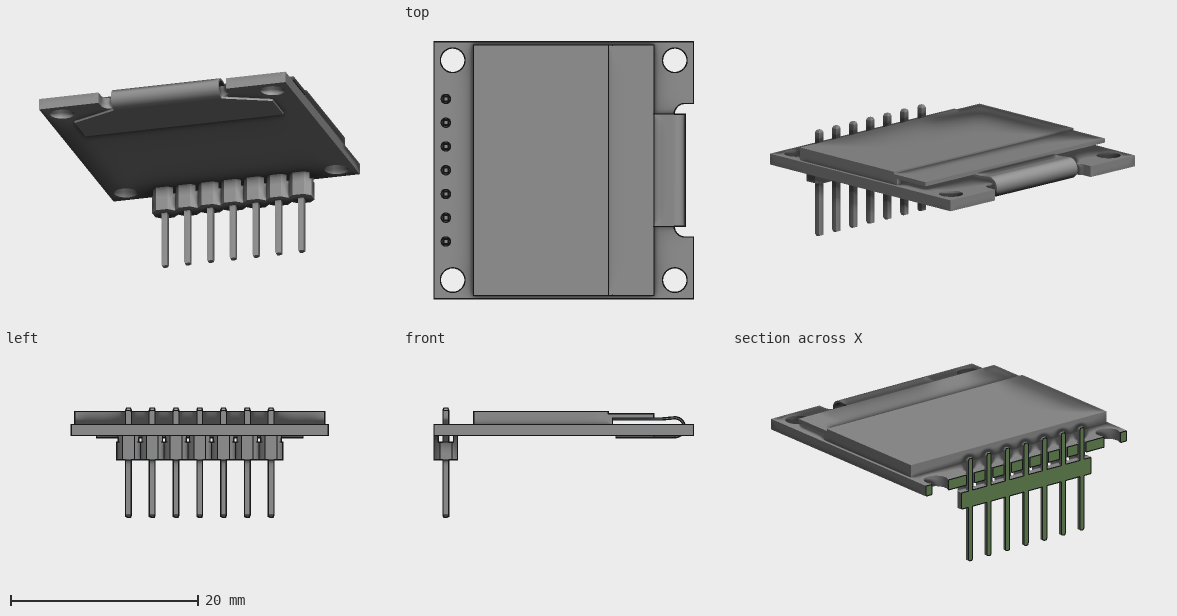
import cadquery as cq
import math


board_length = 27.75
board_width = 27.5
board_thickness = 1.2
board_left = -board_length / 2
board_right = board_length / 2
mount_hole_diameter = 2.6
mount_hole_inset = 2.0
notch_depth = 2.05
notch_width = 14.25
notch_corner_radius = 1.125

display_left = board_left + 4.25
display_width = 26.75
display_base_length = 14.85
display_cover_length = 14.4
display_glass_length = 19.25
display_glass_bottom = board_thickness + 0.69
display_glass_top = board_thickness + 1.15
display_top = board_thickness + 1.4
display_base_right = display_left + display_base_length

flex_thickness = 0.24
flex_width = 12.0
flex_tail_width = 22.1
flex_tail_length = 4.05
flex_taper_length = 2.25
bend_outer_radius = 1.13
bend_right = board_right - 0.87
bend_inner_radius = bend_outer_radius - flex_thickness
bend_z = bend_inner_radius
bend_x = bend_right - bend_outer_radius
ramp_left = display_left + display_glass_length + 0.8

pin_count = 7
pin_pitch = 2.54
pin_size = 0.64
pin_top = board_thickness + 1.75
pin_length = 11.7
pin_hole_diameter = 1.0
pin_tip_length = 0.25
pin_tip_inset = 0.1
housing_width = 2.54
housing_height = 2.6
housing_corner_chamfer = 0.635
housing_channel_width = 1.6
housing_channel_depth = 0.7
pin_x = board_left + housing_width / 2
pin_positions = [(pin_x, (i - (pin_count - 1) / 2) * pin_pitch) for i in range(pin_count)]


def make_block(x_min, x_max, width, z_min, z_max):
    """Box between two X and two Z limits, centred on Y."""
    block = cq.Workplane("XY").box(x_max - x_min, width, z_max - z_min, centered=(False, True, False))
    return block.translate((x_min, 0, z_min))


def make_board():
    board = make_block(board_left, board_right, board_width, 0, board_thickness)
    notch = make_block(board_right - notch_depth, board_right, notch_width, 0, board_thickness)
    notch = notch.edges("|Z and <X").fillet(notch_corner_radius)
    mount_holes = (
        cq.Workplane("XY")
        .rect(board_length - 2 * mount_hole_inset, board_width - 2 * mount_hole_inset, forConstruction=True)
        .vertices()
        .circle(mount_hole_diameter / 2)
        .extrude(board_thickness)
    )
    pin_holes = (
        cq.Workplane("XY")
        .pushPoints(pin_positions)
        .circle(pin_hole_diameter / 2)
        .extrude(board_thickness)
    )
    return board.cut(notch).cut(mount_holes).cut(pin_holes)


def make_display():
    """Stepped stack: base on the board, overhanging glass, and cover layer on top."""
    profile = [
        (display_left, board_thickness),
        (display_base_right, board_thickness),
        (display_base_right, display_glass_bottom),
        (display_left + display_glass_length, display_glass_bottom),
        (display_left + display_glass_length, display_glass_top),
        (display_left + display_cover_length, display_glass_top),
        (display_left + display_cover_length, display_top),
        (display_left, display_top),
    ]
    return cq.Workplane("XZ").polyline(profile).close().extrude(display_width / 2, both=True)


def make_flex():
    """Ribbon that leaves the glass, climbs a ramp into a bend and folds back under the board."""
    run_to_bend_centre = bend_x - ramp_left
    drop_to_bend_centre = display_glass_bottom - bend_z
    distance_to_bend_centre = math.hypot(run_to_bend_centre, drop_to_bend_centre)
    tangent_angle = math.asin(bend_outer_radius / distance_to_bend_centre)
    ramp_angle = tangent_angle - math.atan2(drop_to_bend_centre, run_to_bend_centre)
    ramp_corner_offset = flex_thickness * math.tan(ramp_angle / 2)

    def on_bend(radius, angle):
        """Point on the bend, with the angle measured from its top towards -X."""
        return (bend_x - radius * math.sin(angle), bend_z + radius * math.cos(angle))

    ribbon = (
        cq.Workplane("XZ")
        .moveTo(display_base_right, display_glass_bottom)
        .lineTo(ramp_left, display_glass_bottom)
        .lineTo(*on_bend(bend_outer_radius, ramp_angle))
        .threePointArc((bend_right, bend_z), on_bend(bend_outer_radius, math.pi))
        .lineTo(*on_bend(bend_inner_radius, math.pi))
        .threePointArc((bend_right - flex_thickness, bend_z), on_bend(bend_inner_radius, ramp_angle))
        .lineTo(ramp_left + ramp_corner_offset, display_glass_bottom - flex_thickness)
        .lineTo(display_base_right, display_glass_bottom - flex_thickness)
        .close()
        .extrude(flex_width / 2, both=True)
    )

    taper_left = bend_x - flex_taper_length
    tail_left = taper_left - flex_tail_length
    tail_outline = [
        (bend_x, -flex_width / 2),
        (bend_x, flex_width / 2),
        (taper_left, flex_tail_width / 2),
        (tail_left, flex_tail_width / 2),
        (tail_left, -flex_tail_width / 2),
        (taper_left, -flex_tail_width / 2),
    ]
    tail = cq.Workplane("XY").polyline(tail_outline).close().extrude(-flex_thickness)
    return ribbon.union(tail)


def make_pin():
    """Square pin with a tapered tip at both ends."""
    pin = cq.Workplane("XY").box(pin_size, pin_size, pin_length, centered=(True, True, False))
    pin = pin.faces(">Z").chamfer(pin_tip_length, pin_tip_inset)
    pin = pin.faces("<Z").chamfer(pin_tip_length, pin_tip_inset)
    return pin.translate((0, 0, pin_top - pin_length))


def make_header():
    """Row of octagonal cells with a channel along the top and a pin through each cell."""
    cell = cq.Workplane("XY").box(housing_width, pin_pitch, housing_height, centered=(True, True, False))
    cell = cell.edges("|Z").chamfer(housing_corner_chamfer).translate((0, 0, -housing_height))
    header = cq.Workplane("XY")
    for x, y in pin_positions:
        header = header.union(cell.translate((x, y, 0)))
    channel = make_block(
        pin_x - housing_channel_width / 2,
        pin_x + housing_channel_width / 2,
        pin_count * pin_pitch,
        -housing_channel_depth,
        0,
    )
    header = header.cut(channel)
    pin = make_pin()
    for x, y in pin_positions:
        header = header.union(pin.translate((x, y, 0)))
    return header


board = make_board()
display = make_display()
flex = make_flex()
header = make_header()

bodies = [board, display, flex, header]
result = cq.Compound.makeCompound([body.solids().val() for body in bodies])